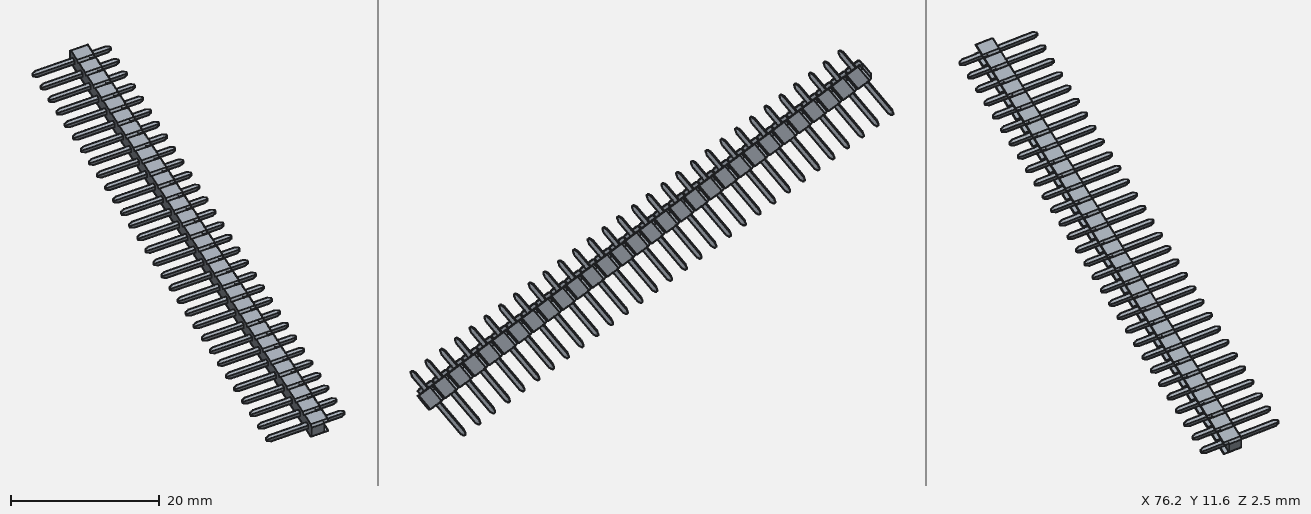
import cadquery as cq

pin_count = 30
row_length = 76.2
pitch = row_length / pin_count

body_height = 2.5
body_depth = 2.5
chamfer_width = 0.3
chamfer_height = 0.4

lip_thickness = 0.3
channel_depth = 0.7

pin_width = 0.64
pin_length = 11.6
pin_front_reach = 6.1
pin_offset = -0.1
tip_width = 0.32
taper_length = 0.5


def make_body():
    """Row of joined cells with chamfered corners, as one extruded outline."""
    top = body_height / 2
    shoulder = top - chamfer_height
    upper_edge = [(-row_length / 2, shoulder)]
    for index in range(pin_count):
        left = index * pitch - row_length / 2
        right = left + pitch
        upper_edge += [
            (left + chamfer_width, top),
            (right - chamfer_width, top),
            (right, shoulder),
        ]
    lower_edge = [(x, -z) for x, z in reversed(upper_edge)]
    return cq.Workplane("XZ").polyline(upper_edge + lower_edge).close().extrude(-body_depth)


def make_channel():
    """Bar removed from the back of the body over its full length."""
    channel_height = body_height - 2 * lip_thickness
    return (
        cq.Workplane("XY")
        .box(row_length, channel_depth, channel_height)
        .translate((0, body_depth - channel_depth / 2, 0))
    )


def make_taper(start_y, end_y):
    """Square frustum from full pin width at start_y to tip width at end_y."""
    return (
        cq.Workplane("XZ", origin=(0, start_y, 0))
        .rect(pin_width, pin_width)
        .workplane(offset=start_y - end_y)
        .rect(tip_width, tip_width)
        .loft(ruled=True)
    )


def make_pin():
    """One pin on the Y axis."""
    front_tip = -pin_front_reach
    back_tip = front_tip + pin_length
    shank_front = front_tip + taper_length
    shank_back = back_tip - taper_length
    shank = (
        cq.Workplane("XZ", origin=(0, shank_front, 0))
        .rect(pin_width, pin_width)
        .extrude(shank_front - shank_back)
    )
    return shank.union(make_taper(shank_front, front_tip)).union(make_taper(shank_back, back_tip))


def place_pins(pin):
    """Copies of the pin, one per cell, all shifted by the same small offset."""
    first_pin_x = (pitch - row_length) / 2 + pin_offset
    positions = [(first_pin_x + index * pitch, 0) for index in range(pin_count)]
    return cq.Workplane("XY").pushPoints(positions).eachpoint(pin.val(), combine=False)


body = make_body().cut(make_channel())
result = body.union(place_pins(make_pin()))